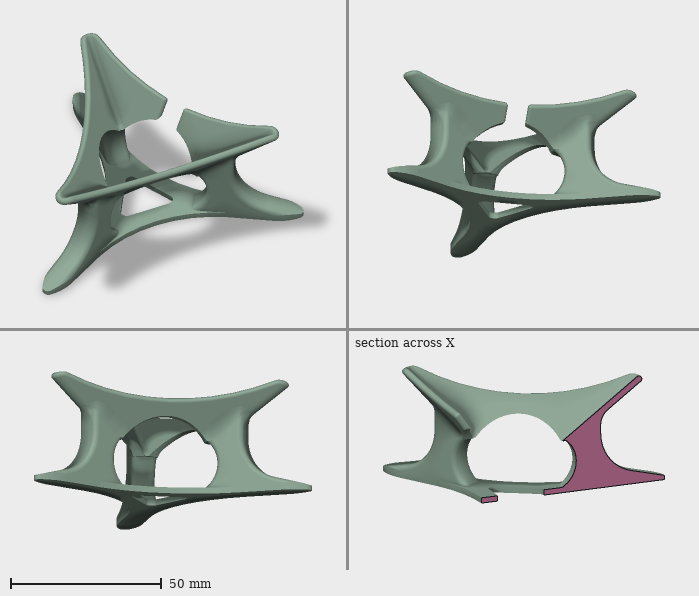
import cadquery as cq
import math

leg_count = 3
leg_angles = [-90.0 + k * 360.0 / leg_count for k in range(leg_count)]
wall_angles = [a + 180.0 for a in leg_angles]
tolerance = 0.01

plate_height = 2.0
plate_side_reach = 12.2
leg_half_width = 4.1
plate_corner_reach = 31.6
foot_taper_start = 44.3
toe_center = 52.0
toe_radius = 2.0
window_corner_reach = 8.4
window_corner_radius = 2.0
window_corner_swing = 54.0
window_side_reach = 6.25

outer_apex_z = 1.3
wall = 2.3
outer_edge_radius = 3.7
cube_size = 80.0
cradle_clip_z = 45.0
cradle_floor_z = 18.0
rim_low_z = 30.55
rim_round = 1.0
horn_radius = 4.0
horn_reach = 56.55
gap_half_width = 3.54
gap_heading = 90.0
arch_radius = 17.5
arch_center_z = 7.7

leg_waist_reach = 31.0
leg_waist_z = 19.0
leg_outer_radius = 14.7
toe_height = 1.6
leg_inner_waist = 22.0
leg_inner_z = 10.5
leg_inner_foot = 17.0
leg_edge_round = 1.6
leg_blend = 6.0
leg_stock_top = 30.0
leg_top_z = 25.0

tilt = math.degrees(math.atan(math.sqrt(2.0)))
out_slope = 1 / math.sqrt(3.0)
up_slope = math.sqrt(2.0 / 3.0)
inner_edge_radius = outer_edge_radius - wall
middle_edge_radius = outer_edge_radius - wall / 2
inner_apex_z = outer_apex_z + wall * math.sqrt(3.0)
middle_apex_z = outer_apex_z + wall / 2 * math.sqrt(3.0)

rim_low_climb = (rim_low_z - middle_apex_z) / up_slope
horn_inset = (1 - math.sqrt(0.5)) * middle_edge_radius
horn_center = (horn_reach - horn_radius, horn_inset)
horn_side = (horn_center[0] - horn_center[1]) / math.sqrt(2.0)
horn_rise = (horn_center[0] + horn_center[1]) / math.sqrt(2.0) - rim_low_climb
rim_radius = (horn_side**2 + horn_rise**2 - horn_radius**2) / (2 * (horn_rise + horn_radius))


def cube_corner(apex_z, edge_radius):
    """Cube standing on one corner, its three lower edges above the legs, rounded."""
    box = cq.Workplane("XY").box(cube_size, cube_size, cube_size, centered=False)
    edges = [e for e in box.edges().vals() if min(v.Center().Length for v in e.Vertices()) < tolerance]
    box = box.newObject(edges).fillet(edge_radius)
    box = box.rotate((0, 0, 0), (0, 0, 1), 45.0).rotate((0, 0, 0), (1, 0, 0), tilt)
    return box.translate((0, 0, apex_z))


def at_angle(body, angle):
    """Turn a body built along +X to the given heading."""
    return body.rotate((0, 0, 0), (0, 0, 1), angle)


def polar(reach, side, angle):
    """Plan point at a distance along a heading and a distance to its left."""
    a = math.radians(angle)
    return (reach * math.cos(a) - side * math.sin(a), reach * math.sin(a) + side * math.cos(a))


def foot_outline():
    """Leg plan along +X: straight sides, tapering on tangent arcs to a round toe."""
    run = toe_center - foot_taper_start
    w = leg_half_width
    taper_radius = (run**2 + w**2 - toe_radius**2) / (2 * (w - toe_radius))
    heading = math.asin(run / (taper_radius - toe_radius))
    mid = (
        foot_taper_start + taper_radius * math.sin(heading / 2),
        w - taper_radius + taper_radius * math.cos(heading / 2),
    )
    toe = (toe_center + toe_radius * math.sin(heading), toe_radius * math.cos(heading))
    return (
        cq.Workplane("XY").moveTo(0, -w).lineTo(foot_taper_start, -w)
        .threePointArc((mid[0], -mid[1]), (toe[0], -toe[1]))
        .threePointArc((toe_center + toe_radius, 0), toe)
        .threePointArc(mid, (foot_taper_start, w))
        .lineTo(0, w).close()
    )


def base_plate():
    """Plate with a concave arc between each pair of neighbouring legs."""
    half_step = 180.0 / leg_count
    outline = cq.Workplane("XY").moveTo(*polar(plate_corner_reach, -leg_half_width, leg_angles[0]))
    for k, a in enumerate(leg_angles):
        next_leg = leg_angles[(k + 1) % leg_count]
        next_corner = polar(plate_corner_reach, -leg_half_width, next_leg)
        outline = outline.lineTo(*polar(plate_corner_reach, leg_half_width, a))
        outline = outline.threePointArc(polar(plate_side_reach, 0, a + half_step), next_corner)
    return outline.close().extrude(plate_height)


def plate_window():
    """Three-cornered opening through the plate, with round corners and slightly hollow sides."""
    half_step = 180.0 / leg_count

    def corner_point(angle, turn):
        center = polar(window_corner_reach, 0, angle)
        offset = polar(window_corner_radius, 0, angle + turn)
        return (center[0] + offset[0], center[1] + offset[1])

    swing = window_corner_swing
    outline = cq.Workplane("XY").moveTo(*corner_point(leg_angles[0], -swing))
    for k, a in enumerate(leg_angles):
        next_leg = leg_angles[(k + 1) % leg_count]
        side_middle = polar(window_side_reach, 0, a + half_step)
        outline = outline.threePointArc(corner_point(a, 0), corner_point(a, swing))
        outline = outline.threePointArc(side_middle, corner_point(next_leg, -swing))
    return outline.close().extrude(plate_height)


def wall_plane():
    """Middle plane of the wall heading along +X: local x runs sideways, local y runs up the wall."""
    return cq.Plane(origin=(0, 0, middle_apex_z), xDir=(0, 1, 0), normal=(up_slope, 0, -out_slope))


def rim_cutter():
    """Everything above the rim of the +X wall: a hollow arc that turns over each horn on a tangent arc."""
    beyond = cube_size
    rim_center_climb = rim_low_climb + rim_radius
    horn_climb = rim_low_climb + horn_rise
    share = horn_radius / (horn_radius + rim_radius)
    join = (horn_side * (1 - share), horn_climb + (rim_center_climb - horn_climb) * share)
    diagonal = horn_radius * math.sqrt(0.5)
    tip = (horn_side + diagonal, horn_climb + diagonal)
    toward_rim = math.atan2(rim_center_climb - horn_climb, -horn_side)
    halfway = (toward_rim + math.pi / 4) / 2
    crest = (horn_side + horn_radius * math.cos(halfway), horn_climb + horn_radius * math.sin(halfway))
    past_edge = (tip[0] + wall, tip[1] - wall)

    def mirrored(point):
        return (-point[0], point[1])

    outline = (
        cq.Workplane(wall_plane()).moveTo(*mirrored(join)).threePointArc((0, rim_low_climb), join)
        .threePointArc(crest, tip).lineTo(*past_edge).lineTo(beyond, past_edge[1])
        .lineTo(beyond, 2 * beyond).lineTo(-beyond, 2 * beyond)
        .lineTo(-beyond, past_edge[1]).lineTo(*mirrored(past_edge)).lineTo(*mirrored(tip))
        .threePointArc(mirrored(crest), mirrored(join)).close()
    )
    return outline.extrude(4 * wall, both=True)


def arch_cutter():
    """Round window through the +X wall, reaching outward from inside the cradle."""
    return cq.Workplane("YZ").center(0, arch_center_z).circle(arch_radius).extrude(cube_size)


def sector():
    """Third of space around +X, between two neighbouring legs."""
    reach = cube_size
    spread = reach * math.tan(math.pi / leg_count)
    outline = [(0, 0), (reach, -spread), (reach, spread)]
    return cq.Workplane("XY").polyline(outline).close().extrude(cube_size)


def on_leg_plane(edge):
    """True for an edge lying between two neighbouring walls of the +X sector."""
    slope = math.tan(math.pi / leg_count)
    return all(abs(abs(v.Y) - slope * v.X) < tolerance for v in edge.Vertices())


def round_rim(half_wall, has_gap):
    """Round over the rim of a half wall, and its gap end if it has one."""

    def is_rounded(edge):
        points = edge.Vertices()
        if has_gap and all(abs(v.Y - gap_half_width) < tolerance for v in points):
            return True
        if on_leg_plane(edge) or all(abs(v.Y) < tolerance for v in points):
            return False
        return edge.BoundingBox().zmin > rim_low_z - wall / 2

    edges = [e for e in half_wall.edges().vals() if is_rounded(e)]
    return half_wall.newObject(edges).fillet(rim_round)


def cradle_wall(shell, has_gap):
    """One wall heading along +X, made as a half and its mirror image, with a gap in its middle if asked."""
    start = gap_half_width if has_gap else 0.0
    half_space = cq.Workplane("XY").box(cube_size, cube_size, cube_size, centered=False).translate((0, start, 0))
    half_wall = shell.intersect(sector()).intersect(half_space).cut(rim_cutter())
    half_wall = half_wall.cut(cq.Workplane("XY").circle(cube_size).extrude(cradle_floor_z)).cut(arch_cutter())
    half_wall = round_rim(half_wall, has_gap)
    return half_wall.union(half_wall.mirror("XZ"))


def leg_block():
    """Straight leg stock along +X with its outer corners rounded, buried in the cradle at its top."""
    block = cq.Workplane("XY").box(leg_waist_reach, 2 * leg_half_width, leg_stock_top, centered=(False, True, False))
    return block.edges("|Z and >X").fillet(leg_edge_round)


def blended_cube():
    """Solid cube corner with the leg stock joined to it by wide concave blends."""
    clip = cq.Workplane("XY").circle(cube_size).extrude(cradle_clip_z)
    body = cube_corner(outer_apex_z, outer_edge_radius).intersect(clip)
    for a in leg_angles:
        body = body.union(at_angle(leg_block(), a))

    def is_junction(edge):
        near_axis = all(math.hypot(v.X, v.Y) < leg_waist_reach + 1.0 for v in edge.Vertices())
        vertical = abs(edge.tangentAt(0.5).z) > 0.99
        return near_axis and not vertical and edge.BoundingBox().zmin > outer_apex_z + 0.5

    edges = [e for e in body.edges().vals() if is_junction(e)]
    return body.newObject(edges).fillet(leg_blend)


def is_leg_side_arc(edge):
    """True for a round profile edge on either flat side of the +X leg."""
    on_side = all(abs(abs(v.Y) - leg_half_width) < tolerance for v in edge.Vertices())
    return on_side and edge.geomType() == "CIRCLE" and edge.Center().z > plate_height


def leg():
    """Leg and foot along +X: C-shaped side profile, rounded along its front and back."""
    r = leg_outer_radius
    center_x = leg_waist_reach + r
    center_z = leg_waist_z
    toe_x = toe_center + toe_radius
    reach = math.hypot(toe_x - center_x, toe_height - center_z)
    end = math.atan2(toe_height - center_z, toe_x - center_x) - math.acos(r / reach)

    def on_front(angle):
        return (center_x + r * math.cos(angle), center_z + r * math.sin(angle))

    profile = (
        cq.Workplane("XZ").moveTo(leg_inner_foot, 0).lineTo(toe_x, 0).lineTo(toe_x, toe_height)
        .lineTo(*on_front(end)).threePointArc(on_front((end - math.pi) / 2), on_front(math.pi))
        .lineTo(leg_waist_reach, leg_top_z).lineTo(leg_inner_foot, leg_top_z)
        .lineTo(leg_inner_foot, 2 * leg_inner_z - plate_height)
        .threePointArc((leg_inner_waist, leg_inner_z), (leg_inner_foot, plate_height)).close()
        .extrude(leg_half_width, both=True)
    )
    front = [e for e in profile.edges().vals() if is_leg_side_arc(e) and e.Center().x > leg_waist_reach]
    body = profile.newObject(front).fillet(leg_edge_round)
    back = [e for e in body.edges().vals() if is_leg_side_arc(e) and e.Center().x < leg_inner_waist]
    body = body.newObject(back).fillet(leg_edge_round)
    return body.intersect(foot_outline().extrude(leg_top_z))


inner = cube_corner(inner_apex_z, inner_edge_radius)
shell = blended_cube().cut(inner).rotate((0, 0, 0), (0, 0, 1), -leg_angles[0] - 180.0)
one_leg = leg()

cradle = cradle_wall(shell, wall_angles[0] == gap_heading)
for a in wall_angles[1:]:
    cradle = cradle.union(at_angle(cradle_wall(shell, a == gap_heading), a - wall_angles[0]))
cradle = at_angle(cradle, wall_angles[0])

result = cradle.union(base_plate().cut(plate_window()))
for a in leg_angles:
    result = result.union(at_angle(one_leg, a).cut(inner))